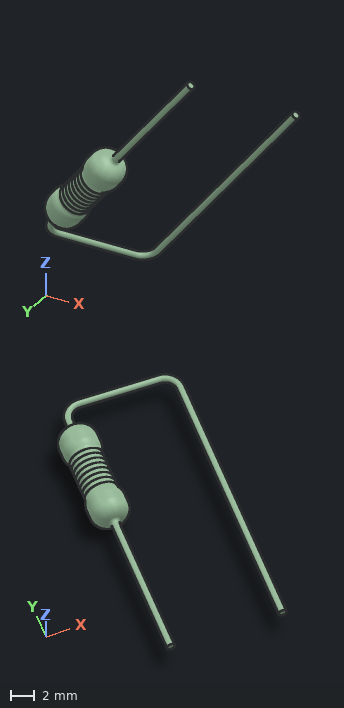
import cadquery as cq
import math

wire_radius = 0.7 / 2
lead_spacing = 9.99
bend_radius = 1.4
overall_length = 26.35
wire_top = overall_length / 2 - wire_radius
wire_end = -overall_length / 2

body_centre = 5.43
end_radius = 3.5 / 2
waist_radius = 2.98 / 2
band_radius = 3.0 / 2
band_pitch = 0.53
band_count = 4
shoulder_length = 0.95
end_straight = 0.95
cap_radius = 1.26
collar_radius = 0.35

waist_half = band_pitch * (2 * band_count - 1) / 2
end_start = waist_half + shoulder_length
cap_start = end_start + end_straight

shoulder_step = end_radius - waist_radius
shoulder_radius = (shoulder_length**2 + shoulder_step**2) / (4 * shoulder_step)

cap_arc_r = end_radius - cap_radius
collar_arc_r = wire_radius + collar_radius
arc_distance = cap_radius + collar_radius
collar_end = cap_start + math.sqrt(arc_distance**2 - (collar_arc_r - cap_arc_r) ** 2)
touch_fraction = cap_radius / arc_distance
touch_point = (
    cap_arc_r + touch_fraction * (collar_arc_r - cap_arc_r),
    cap_start + touch_fraction * (collar_end - cap_start),
)


def rounded_end():
    """Revolve the +Y end of the body: shoulder, straight, cap and collar."""
    shoulder_middle = ((waist_radius + end_radius) / 2, waist_half + shoulder_length / 2)
    return (
        cq.Workplane("XY")
        .moveTo(0, waist_half)
        .lineTo(waist_radius, waist_half)
        .radiusArc(shoulder_middle, shoulder_radius)
        .tangentArcPoint((end_radius, end_start), relative=False)
        .lineTo(end_radius, cap_start)
        .tangentArcPoint(touch_point, relative=False)
        .tangentArcPoint((wire_radius, collar_end), relative=False)
        .lineTo(0, collar_end)
        .close()
        .revolve(360, (0, 0, 0), (0, 1, 0))
    )


def waist():
    """Plain cylinder between the two shoulders."""
    return cq.Workplane("XZ").circle(waist_radius).extrude(waist_half, both=True)


def colour_band(index):
    """One slightly raised colour band on the waist."""
    start = -waist_half + 2 * index * band_pitch
    return cq.Workplane("XZ", origin=(0, start, 0)).circle(band_radius).extrude(-band_pitch)


def lead_wire():
    """Sweep the wire through the body, around both bends and back."""
    bend_start = wire_top - bend_radius
    path = (
        cq.Workplane("XY")
        .moveTo(0, wire_end)
        .lineTo(0, bend_start)
        .tangentArcPoint((bend_radius, wire_top), relative=False)
        .lineTo(lead_spacing - bend_radius, wire_top)
        .tangentArcPoint((lead_spacing, bend_start), relative=False)
        .lineTo(lead_spacing, wire_end)
    )
    return cq.Workplane("XZ", origin=(0, wire_end, 0)).circle(wire_radius).sweep(path)


body = waist().union(rounded_end()).union(rounded_end().mirror("XZ"))
for band_index in range(band_count):
    body = body.union(colour_band(band_index))

result = body.translate((0, body_centre, 0)).union(lead_wire())